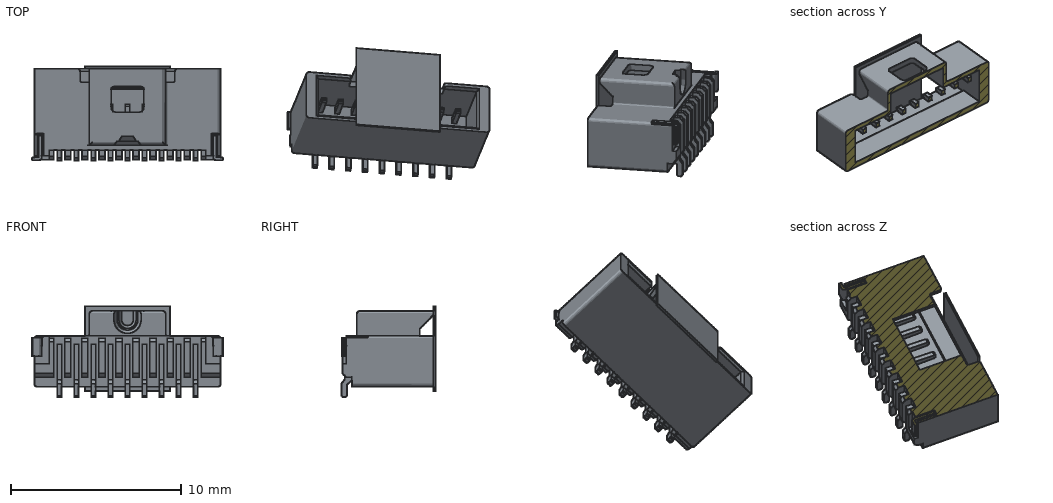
import cadquery as cq


PITCH = 1.0
PIN_COUNT = 9
PIN_WIDTH = 0.27

HALF_LENGTH = 5.47
HEIGHT = 3.0
EDGE_RADIUS = 0.2
WALL_BACK = -4.79

BLOCK_INNER_X = 4.61
BLOCK_BACK = -5.1
RIB_BACK = -5.35
RIB_BOTTOM = 0.58
RIB_TOP = 2.87
RIB_WIDTH = 0.36
RIB_CHAMFER = 0.21
LEDGE_HEIGHT = 1.37

TOWER_HALF_WIDTH = 2.25
TOWER_TOP = 4.47
TOWER_BACK = -4.51
TOWER_EDGE_RADIUS = 0.21
TOWER_SIDE_WALL = 0.27
TOWER_ROOF = 0.37
FLARE_RADIUS = 0.09

CAVITY_HALF_WIDTH = 4.72
CAVITY_BACK = -3.48
CAVITY_FLOOR = 0.39
SHELL_ROOF = 0.34
CAVITY_CEILING = HEIGHT - SHELL_ROOF
FLOOR_STEP = 0.09
FLOOR_STEP_Y = -1.12
LEAD_IN = 0.15

NOTCH_DEPTH = 0.8
NOTCH_HALF_WIDTH = 2.79
NOTCH_CORNER_RADIUS = 0.11
NOTCH_MOUTH_RADIUS = 0.15
NOTCH_SLOPE_START = 3.42

WINDOW_HALF_WIDTH = 0.97
WINDOW_FRONT = -1.05
WINDOW_BACK = -2.55
WINDOW_FRONT_RADIUS = 0.2
WINDOW_BACK_RADIUS = 0.29

FUNNEL_CENTRE_Z = 3.95
FUNNEL_STEP_Y = -4.25
FUNNEL_END_Y = -3.97
FUNNEL_RADII = (0.8, 0.61)
FUNNEL_INNER_RADII = (0.51, 0.34)

PIN_BACK = -5.22
PIN_FOOT_BACK = -5.41
PIN_FOOT_THICKNESS = 0.34
PIN_FOOT_CHAMFER = 0.09
PIN_BOTTOM = -0.6
PIN_TOP = 2.52
PIN_BAR_THICKNESS = 0.37
PIN_TIP_Y = -2.09
PIN_TIP_CHAMFER = 0.1
PIN_TAPER_RISE = 0.03
BEND_TOP = 0.44
BEND_BOTTOM = 0.19
INNER_BEND_TOP = 0.39
INNER_BEND_BOTTOM = 0.12

CLIP_TOP = 2.9
CLIP_BOTTOM = 1.81
CLIP_THICKNESS = 0.18
CLIP_BEND_RADIUS = 0.16
CLIP_INNER_X = 5.04
CLIP_OUTER_X = 5.62
CLIP_BACK = -5.38
CLIP_FRONT = -3.93
CLIP_TIP_CHAMFER = 0.05
SEAT_Z = 2.91
SEAT_INNER_X = 4.99
SEAT_FRONT = -3.88
SEAT_TAPER = 40
SLOT_INNER_X = 5.0
SLOT_OUTER_X = 5.3
SLOT_BOTTOM = 2.43

COVER_SIZE = 5.0
COVER_BOTTOM = -0.25
COVER_THICKNESS = 0.13


def box(x_range, y_range, z_range):
    (x0, x1), (y0, y1), (z0, z1) = x_range, y_range, z_range
    return cq.Workplane("XY").box(x1 - x0, y1 - y0, z1 - z0, centered=False).translate((x0, y0, z0))


def extrude_along_x(points, x_start, x_end):
    """Extrude a closed outline of (y, z) points between two X positions."""
    return cq.Workplane("YZ", origin=(x_start, 0, 0)).polyline(points).close().extrude(x_end - x_start)


def both_ends(solid):
    """The solid together with its mirror image at the other end of the row."""
    return solid.union(solid.mirror("YZ"))


def rounded_bar(back):
    """Bar with the outline of the shell, running from the mating face to the given Y."""
    bar = box((-HALF_LENGTH, HALF_LENGTH), (back, 0), (0, HEIGHT))
    return bar.edges("|Y").fillet(EDGE_RADIUS)


def corner_blocks():
    block = extrude_along_x(
        [
            (WALL_BACK, RIB_BOTTOM),
            (RIB_BACK + RIB_CHAMFER, RIB_BOTTOM),
            (RIB_BACK, RIB_BOTTOM + RIB_CHAMFER),
            (RIB_BACK, LEDGE_HEIGHT),
            (BLOCK_BACK, LEDGE_HEIGHT),
            (BLOCK_BACK, HEIGHT),
            (WALL_BACK, HEIGHT),
        ],
        BLOCK_INNER_X,
        HALF_LENGTH,
    )
    return both_ends(block.intersect(rounded_bar(RIB_BACK)))


def rib(x_start, x_end):
    return extrude_along_x(
        [
            (WALL_BACK, RIB_BOTTOM),
            (RIB_BACK + RIB_CHAMFER, RIB_BOTTOM),
            (RIB_BACK, RIB_BOTTOM + RIB_CHAMFER),
            (RIB_BACK, RIB_TOP - RIB_CHAMFER),
            (RIB_BACK + RIB_CHAMFER, RIB_TOP),
            (WALL_BACK, RIB_TOP),
        ],
        x_start,
        x_end,
    )


def add_ribs(body):
    """One rib on either side of every pin; the outermost two end at the corner blocks."""
    for index in range(PIN_COUNT + 1):
        centre = (index - PIN_COUNT / 2) * PITCH
        start = max(centre - RIB_WIDTH / 2, -BLOCK_INNER_X)
        end = min(centre + RIB_WIDTH / 2, BLOCK_INNER_X)
        body = body.union(rib(start, end))
    return body


def tower():
    block = box((-TOWER_HALF_WIDTH, TOWER_HALF_WIDTH), (TOWER_BACK, 0), (CAVITY_CEILING, TOWER_TOP))
    block = block.faces(">Z").edges("|Y or <Y").fillet(TOWER_EDGE_RADIUS)
    return block.union(both_ends(tower_flare()))


def tower_flare():
    """Concave fillet along the foot of one side of the tower."""
    x, r = TOWER_HALF_WIDTH, FLARE_RADIUS
    return (
        cq.Workplane("XZ")
        .moveTo(x, HEIGHT)
        .lineTo(x + r, HEIGHT)
        .radiusArc((x, HEIGHT + r), r)
        .close()
        .extrude(-TOWER_BACK)
    )


def flared_pocket(x_half, back, floor, ceiling):
    """Straight pocket from the mating face, with a sloping lead-in all round its mouth."""
    centre_z = (floor + ceiling) / 2
    width, height = 2 * x_half, ceiling - floor
    pocket = box((-x_half, x_half), (back, 0), (floor, ceiling))
    lead_in = (
        cq.Workplane("XZ", origin=(0, 0, centre_z))
        .rect(width + 2 * LEAD_IN, height + 2 * LEAD_IN)
        .workplane(offset=LEAD_IN)
        .rect(width, height)
        .loft()
    )
    return pocket.union(lead_in)


def cavity():
    main = flared_pocket(CAVITY_HALF_WIDTH, FLOOR_STEP_Y, CAVITY_FLOOR - FLOOR_STEP, CAVITY_CEILING)
    step = extrude_along_x(
        [
            (FLOOR_STEP_Y, CAVITY_FLOOR - FLOOR_STEP),
            (FLOOR_STEP_Y - FLOOR_STEP, CAVITY_FLOOR),
            (CAVITY_BACK, CAVITY_FLOOR),
            (CAVITY_BACK, CAVITY_CEILING),
            (FLOOR_STEP_Y, CAVITY_CEILING),
        ],
        -CAVITY_HALF_WIDTH,
        CAVITY_HALF_WIDTH,
    )
    latch_space = flared_pocket(
        TOWER_HALF_WIDTH - TOWER_SIDE_WALL, CAVITY_BACK, CAVITY_FLOOR, TOWER_TOP - TOWER_ROOF
    )
    return main.union(step).union(latch_space)


def mouth_notches():
    """Openings through the shell top and the tower sides, beside the mouth of the tower."""
    x, r = NOTCH_HALF_WIDTH, NOTCH_MOUTH_RADIUS
    shell_notch = (
        cq.Workplane("XY", origin=(0, 0, CAVITY_CEILING))
        .moveTo(-x - r, 0)
        .radiusArc((-x, -r), r)
        .lineTo(-x, -NOTCH_DEPTH + NOTCH_CORNER_RADIUS)
        .radiusArc((-x + NOTCH_CORNER_RADIUS, -NOTCH_DEPTH), -NOTCH_CORNER_RADIUS)
        .lineTo(x - NOTCH_CORNER_RADIUS, -NOTCH_DEPTH)
        .radiusArc((x, -NOTCH_DEPTH + NOTCH_CORNER_RADIUS), -NOTCH_CORNER_RADIUS)
        .lineTo(x, -r)
        .radiusArc((x + r, 0), r)
        .close()
        .extrude(HEIGHT - CAVITY_CEILING)
    )
    side_opening = extrude_along_x(
        [
            (0, HEIGHT),
            (-NOTCH_DEPTH, HEIGHT),
            (-NOTCH_DEPTH, NOTCH_SLOPE_START),
            (0, NOTCH_SLOPE_START + NOTCH_DEPTH),
        ],
        -NOTCH_HALF_WIDTH,
        NOTCH_HALF_WIDTH,
    )
    return shell_notch.union(side_opening)


def roof_window():
    window = box(
        (-WINDOW_HALF_WIDTH, WINDOW_HALF_WIDTH),
        (WINDOW_BACK, WINDOW_FRONT),
        (TOWER_TOP - TOWER_ROOF, TOWER_TOP),
    )
    window = window.edges("|Z and >Y").fillet(WINDOW_FRONT_RADIUS)
    return window.edges("|Z and <Y").fillet(WINDOW_BACK_RADIUS)


def u_outline(plane, radius):
    """U-shaped outline about the funnel axis, open toward the tower top."""
    rise = TOWER_TOP - FUNNEL_CENTRE_Z
    return (
        plane.moveTo(-radius, rise)
        .lineTo(-radius, 0)
        .threePointArc((0, -radius), (radius, 0))
        .lineTo(radius, rise)
        .close()
    )


def funnel_stage(y_wide, y_narrow, radii):
    wide, narrow = radii
    start = cq.Workplane("XZ", origin=(0, y_narrow, FUNNEL_CENTRE_Z))
    end = u_outline(start, narrow).workplane(offset=y_narrow - y_wide)
    return u_outline(end, wide).loft(ruled=True)


def rear_funnel():
    outer = funnel_stage(TOWER_BACK, FUNNEL_STEP_Y, FUNNEL_RADII)
    return outer.union(funnel_stage(FUNNEL_STEP_Y, FUNNEL_END_Y, FUNNEL_INNER_RADII))


def clip_seats():
    """Step in the top edge and narrow slot that receive each clip."""
    seat_length = SEAT_FRONT - RIB_BACK
    seat_width = CLIP_OUTER_X - SEAT_INNER_X
    seat = (
        cq.Workplane("XY", origin=(SEAT_INNER_X + seat_width / 2, RIB_BACK + seat_length / 2, SEAT_Z))
        .rect(seat_width, seat_length)
        .extrude(HEIGHT - SEAT_Z, taper=-SEAT_TAPER)
    )
    slot = box((SLOT_INNER_X, SLOT_OUTER_X), (BLOCK_BACK, SEAT_FRONT), (SLOT_BOTTOM, HEIGHT))
    return both_ends(seat.union(slot))


def clips():
    """L-shaped solder clips, bent outward behind the corner blocks."""
    leg_outer_x = CLIP_INNER_X + CLIP_THICKNESS
    clip = (
        cq.Workplane("XY", origin=(0, 0, CLIP_BOTTOM))
        .moveTo(CLIP_INNER_X, CLIP_FRONT)
        .lineTo(leg_outer_x, CLIP_FRONT)
        .lineTo(leg_outer_x, CLIP_BACK + CLIP_THICKNESS)
        .lineTo(CLIP_OUTER_X, CLIP_BACK + CLIP_THICKNESS)
        .lineTo(CLIP_OUTER_X, CLIP_BACK)
        .lineTo(CLIP_INNER_X + CLIP_BEND_RADIUS, CLIP_BACK)
        .radiusArc((CLIP_INNER_X, CLIP_BACK + CLIP_BEND_RADIUS), CLIP_BEND_RADIUS)
        .close()
        .extrude(CLIP_TOP - CLIP_BOTTOM)
    )
    clip = clip.edges("|Z and >X").chamfer(CLIP_TIP_CHAMFER)
    return both_ends(clip)


def pin(x):
    """Right-angle pin: blade in the cavity, upright leg on the rear wall, offset foot below."""
    foot_front = PIN_FOOT_BACK + PIN_FOOT_THICKNESS
    bar_bottom = PIN_TOP - PIN_BAR_THICKNESS
    tip_top = PIN_TOP - PIN_TAPER_RISE
    tip_bottom = bar_bottom + PIN_TAPER_RISE
    return extrude_along_x(
        [
            (PIN_BACK, PIN_TOP),
            (CAVITY_BACK, PIN_TOP),
            (PIN_TIP_Y - PIN_TIP_CHAMFER, tip_top),
            (PIN_TIP_Y, tip_top - PIN_TIP_CHAMFER),
            (PIN_TIP_Y, tip_bottom + PIN_TIP_CHAMFER),
            (PIN_TIP_Y - PIN_TIP_CHAMFER, tip_bottom),
            (CAVITY_BACK, bar_bottom),
            (WALL_BACK, bar_bottom),
            (WALL_BACK, INNER_BEND_TOP),
            (foot_front, INNER_BEND_BOTTOM),
            (foot_front, PIN_BOTTOM + PIN_FOOT_CHAMFER),
            (foot_front - PIN_FOOT_CHAMFER, PIN_BOTTOM),
            (PIN_FOOT_BACK + PIN_FOOT_CHAMFER, PIN_BOTTOM),
            (PIN_FOOT_BACK, PIN_BOTTOM + PIN_FOOT_CHAMFER),
            (PIN_FOOT_BACK, BEND_BOTTOM),
            (PIN_BACK, BEND_TOP),
        ],
        x - PIN_WIDTH / 2,
        x + PIN_WIDTH / 2,
    )


def make_connector():
    """Housing with its pins and clips as one solid."""
    body = rounded_bar(WALL_BACK).union(corner_blocks()).union(tower())
    body = add_ribs(body)
    body = body.cut(cavity()).cut(mouth_notches()).cut(roof_window())
    body = body.cut(rear_funnel()).cut(clip_seats()).union(clips())
    for index in range(PIN_COUNT):
        body = body.union(pin((index - (PIN_COUNT - 1) / 2) * PITCH))
    return body


def make_cover():
    """Square pick-up plate lying on the mating face."""
    return box(
        (-COVER_SIZE / 2, COVER_SIZE / 2),
        (0, COVER_THICKNESS),
        (COVER_BOTTOM, COVER_BOTTOM + COVER_SIZE),
    )


connector = make_connector()
cover = make_cover()

result = cq.Compound.makeCompound([connector.solids().val(), cover.val()])